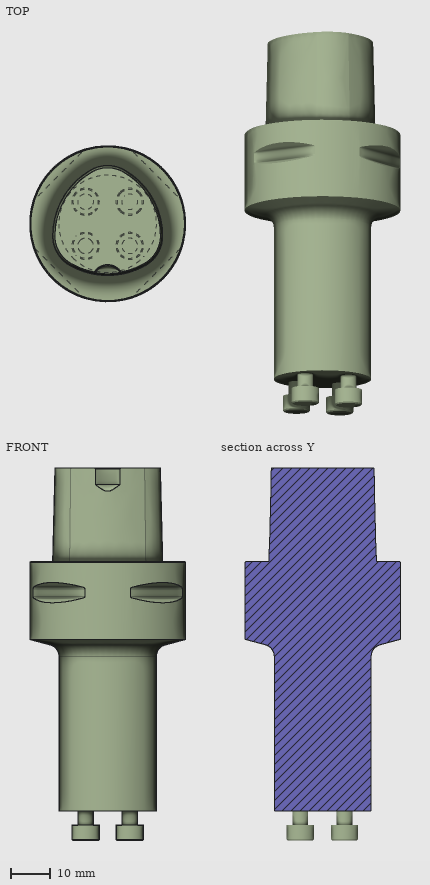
import cadquery as cq
import math


shank_height = 24.0
shank_width = 28.24
lobe_count = 3
first_lobe_angle = 90.0
lobe_center_radius = 6.25
taper_ratio = 20.0

notch_diameter = 7.5
notch_axis_y = -14.5
notch_depth = 4.25
notch_rim_chamfer = 0.3
notch_point_angle = 100.0

flange_diameter = 40.0
flange_height = 20.0
flange_chamfer = 0.3
shoulder_angle = 15.0
neck_diameter = 25.0
neck_fillet = 3.0
neck_bottom_z = -64.0

groove_center_z = -8.0
groove_floor_distance = 17.65
groove_floor_width = 2.5
groove_wall_angle = 30.0
groove_corner_radius = 0.5

screw_diameter = 4.0
screw_head_diameter = 7.0
screw_head_height = 4.0
screw_head_chamfer = 0.3
screw_circle_radius = 8.0
screw_bottom_z = -71.61

flange_radius = flange_diameter / 2
neck_radius = neck_diameter / 2
quadrant_angles = [45, 135, 225, 315]


def polar(radius, degrees):
    angle = math.radians(degrees)
    return cq.Vector(radius * math.cos(angle), radius * math.sin(angle))


def arc_point(center, radius, degrees):
    point = center + polar(radius, degrees)
    return (point.x, point.y)


def polygon_outline():
    """Closed wire of three small lobe arcs joined tangentially by three large side arcs."""
    lobe_radius = (shank_width - lobe_center_radius * math.sqrt(3)) / 2
    side_radius = shank_width - lobe_radius
    lobe_spacing = 360 / lobe_count
    half_turn = lobe_spacing / 4
    first_center = polar(lobe_center_radius, first_lobe_angle)
    outline = cq.Workplane("XY").moveTo(*arc_point(first_center, lobe_radius, first_lobe_angle - half_turn))
    for index in range(lobe_count):
        lobe_angle = first_lobe_angle + index * lobe_spacing
        lobe_center = polar(lobe_center_radius, lobe_angle)
        outline = outline.threePointArc(
            arc_point(lobe_center, lobe_radius, lobe_angle),
            arc_point(lobe_center, lobe_radius, lobe_angle + half_turn),
        )
        side_angle = lobe_angle + lobe_spacing / 2
        opposite_center = polar(lobe_center_radius, side_angle + 180)
        outline = outline.threePointArc(
            arc_point(opposite_center, side_radius, side_angle),
            arc_point(opposite_center, side_radius, side_angle + half_turn),
        )
    return outline.close()


def make_shank():
    """Solid polygon shank, narrowing upward."""
    taper = math.degrees(math.atan(1 / (2 * taper_ratio)))
    return polygon_outline().extrude(shank_height, taper=taper)


def make_notch_cutter():
    """Vertical drill shape with a conical point and a chamfered rim."""
    radius = notch_diameter / 2
    point_height = radius / math.tan(math.radians(notch_point_angle / 2))
    shoulder_z = shank_height - notch_depth
    return (
        cq.Workplane("XZ")
        .moveTo(0, shank_height)
        .lineTo(radius + notch_rim_chamfer, shank_height)
        .lineTo(radius, shank_height - notch_rim_chamfer)
        .lineTo(radius, shoulder_z)
        .lineTo(0, shoulder_z - point_height)
        .close()
        .revolve(360, (0, 0), (0, 1))
        .translate((0, notch_axis_y, 0))
    )


def make_flange_and_neck():
    """Revolved flange, conical shoulder, filleted transition and cylindrical neck."""
    slope = math.radians(shoulder_angle)
    fillet_center_x = neck_radius + neck_fillet
    shoulder_end_x = fillet_center_x - neck_fillet * math.sin(slope)
    shoulder_end_z = -flange_height - (flange_radius - shoulder_end_x) * math.tan(slope)
    fillet_center_z = shoulder_end_z - neck_fillet * math.cos(slope)
    middle = (math.pi / 2 + slope + math.pi) / 2
    fillet_middle = (
        fillet_center_x + neck_fillet * math.cos(middle),
        fillet_center_z + neck_fillet * math.sin(middle),
    )
    return (
        cq.Workplane("XZ")
        .moveTo(0, 0)
        .lineTo(flange_radius - flange_chamfer, 0)
        .lineTo(flange_radius, -flange_chamfer)
        .lineTo(flange_radius, -flange_height)
        .lineTo(shoulder_end_x, shoulder_end_z)
        .threePointArc(fillet_middle, (neck_radius, fillet_center_z))
        .lineTo(neck_radius, neck_bottom_z)
        .lineTo(0, neck_bottom_z)
        .close()
        .revolve(360, (0, 0), (0, 1))
    )


def make_groove_cutter():
    """Straight trapezoidal groove with rounded floor corners, across the +X side of the flange."""
    groove_depth = flange_radius - groove_floor_distance
    floor_half = groove_floor_width / 2
    mouth_half = floor_half + groove_depth * math.tan(math.radians(groove_wall_angle))
    return (
        cq.Workplane("XZ")
        .moveTo(groove_floor_distance, groove_center_z - floor_half)
        .lineTo(flange_radius, groove_center_z - mouth_half)
        .lineTo(flange_radius, groove_center_z + mouth_half)
        .lineTo(groove_floor_distance, groove_center_z + floor_half)
        .close()
        .extrude(flange_radius, both=True)
        .edges("|Y and <X")
        .fillet(groove_corner_radius)
    )


def make_screw():
    """Screw on the Z axis: chamfered head at the bottom, shaft up to the neck."""
    shaft_length = neck_bottom_z - screw_bottom_z - screw_head_height
    return (
        cq.Workplane("XY", origin=(0, 0, screw_bottom_z))
        .circle(screw_head_diameter / 2)
        .extrude(screw_head_height)
        .faces("<Z")
        .chamfer(screw_head_chamfer)
        .faces(">Z")
        .workplane()
        .circle(screw_diameter / 2)
        .extrude(shaft_length)
    )


def build_part():
    """Join the bodies, then add one groove and one screw in each quadrant."""
    shank = make_shank().cut(make_notch_cutter())
    part = make_flange_and_neck().union(shank)
    for angle in quadrant_angles:
        part = part.cut(make_groove_cutter().rotate((0, 0, 0), (0, 0, 1), angle))
        part = part.union(make_screw().translate(polar(screw_circle_radius, angle)))
    return part


result = build_part()